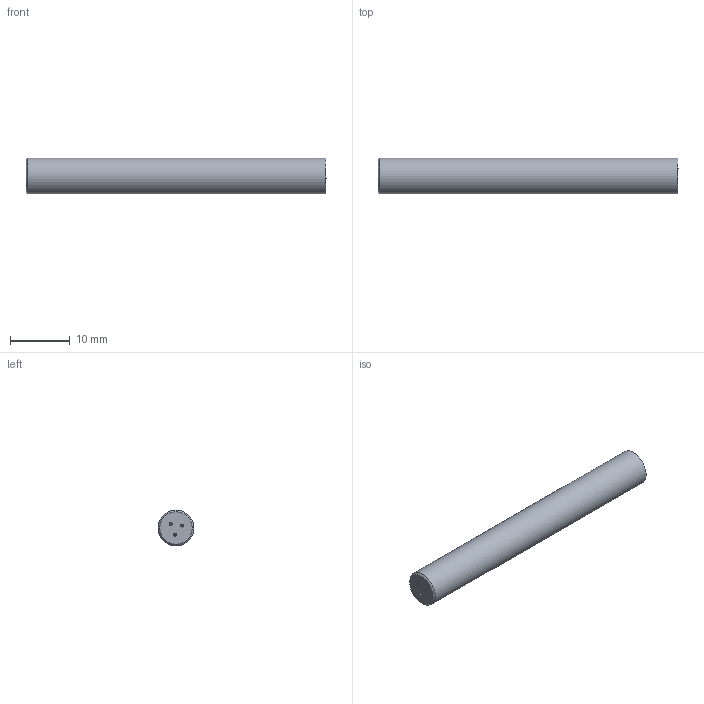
import cadquery as cq
import math

rod_length = 50.0
rod_diameter = 6.0
end_chamfer = 0.3

hole_count = 3
hole_diameter = 0.5
hole_circle_diameter = 2.2
first_hole_angle = 38.0

helix_angle = 30.0
helix_lead = math.pi * rod_diameter / math.tan(math.radians(helix_angle))
full_turn = 360.0
total_twist = full_turn * rod_length / helix_lead


def make_rod():
    """Cylinder starting at X = 0, chamfered around that end only."""
    rod = cq.Workplane("YZ").circle(rod_diameter / 2).extrude(rod_length)
    return rod.faces("<X").chamfer(end_chamfer)


def make_coolant_holes():
    """Round profiles twisted together about the rod axis."""
    return (
        cq.Workplane("YZ")
        .polarArray(hole_circle_diameter / 2, first_hole_angle, full_turn, hole_count)
        .circle(hole_diameter / 2)
        .twistExtrude(rod_length, total_twist)
    )


result = make_rod().cut(make_coolant_holes())